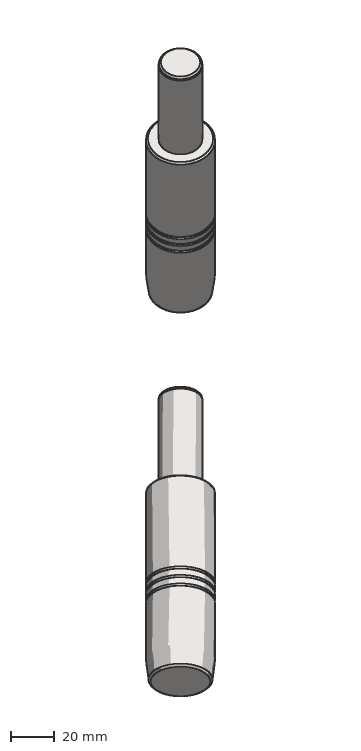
import cadquery as cq

total_height = 150.0
body_diameter = 31.5
pin_diameter = 20.1
tip_diameter = 19.6
tip_height = 1.6
pin_length = 50.0

pin_tip_chamfer = 0.9
shoulder_chamfer = 0.9
foot_chamfer = 1.0

lead_in_height = 10.5
foot_diameter = 29.2

groove_count = 3
groove_pitch = 4.5
groove_radius = 0.6
lowest_groove_height = 42.0

body_radius = body_diameter / 2
pin_radius = pin_diameter / 2
tip_radius = tip_diameter / 2
foot_radius = foot_diameter / 2
shoulder_height = total_height - pin_length


def make_body():
    """Revolve the stepped outline of the body, its pin and the stepped pin tip about Z."""
    outline = (
        cq.Workplane("XZ")
        .lineTo(foot_radius - foot_chamfer, 0)
        .lineTo(foot_radius, foot_chamfer)
        .lineTo(body_radius, lead_in_height)
        .lineTo(body_radius, shoulder_height - shoulder_chamfer)
        .lineTo(body_radius - shoulder_chamfer, shoulder_height)
        .lineTo(pin_radius, shoulder_height)
        .lineTo(pin_radius, total_height - tip_height)
        .lineTo(tip_radius, total_height - tip_height)
        .lineTo(tip_radius, total_height - pin_tip_chamfer)
        .lineTo(tip_radius - pin_tip_chamfer, total_height)
        .lineTo(0, total_height)
        .close()
    )
    return outline.revolve(360, (0, 0, 0), (0, 1, 0))


def make_groove(height):
    """Ring that cuts a half-round groove centred at the given height."""
    return (
        cq.Workplane("XZ")
        .center(body_radius, height)
        .circle(groove_radius)
        .revolve(360, (-body_radius, 0, 0), (-body_radius, 1, 0))
    )


result = make_body()
for index in range(groove_count):
    result = result.cut(make_groove(lowest_groove_height + index * groove_pitch))